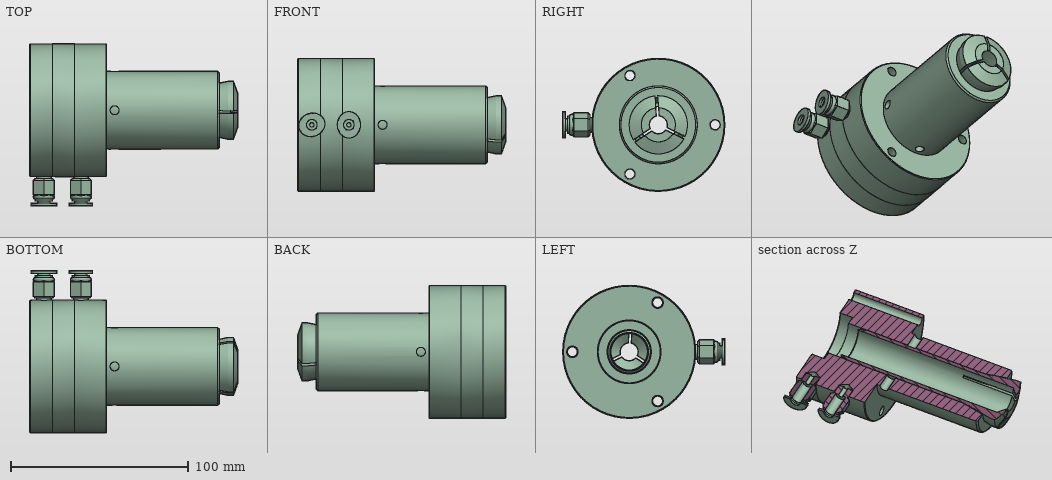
import cadquery as cq
import math

flange_diameter = 75.0
flange_length = 43.4
flange_edge_chamfer = 0.5
band_diameter = 75.1
band_start = 12.8
band_end = 25.4
sleeve_diameter = 44.0
sleeve_end = 107.0
sleeve_edge_chamfer = 0.9

recess_diameter = 35.0
recess_depth = 8.0
recess_edge_chamfer = 0.5
bore_diameter = 25.0

mount_hole_count = 3
mount_hole_diameter = 5.5
mount_hole_chamfer = 0.5
mount_circle_radius = 32.0

side_hole_count = 4
side_hole_diameter = 5.0
side_hole_x = 47.9

overall_length = 117.4
collet_start = 15.0
collet_diameter = bore_diameter
tail_diameter = 24.0
tail_end = 18.8
collet_edge_chamfer = 1.0
collet_bore_chamfer = 0.5
collet_bore_diameter = 20.5
collet_mouth_diameter = 10.0
mouth_taper_start = 113.3
head_diameter = 32.9
head_start = 111.9
head_end = 114.9
nose_diameter = 19.3
seat_diameter = 30.8

slit_count = 3
slit_width = 1.5
slit_start = 82.2
slit_tilt = 3.8

fitting_x = [8.0, 28.9]
button_tilts = [71.0, 0.0]
socket_floor = 31.7
neck_diameter = 8.5
hex_width = 12.0
hex_start = 38.5
hex_end = 48.6
hex_chamfer = 1.0
shoulder_edge_diameter = 10.3
shoulder_end = 50.1
collar_diameter = 10.0
collar_end = 51.2
stem_diameter = 7.0
button_start = 52.4
fitting_end = 54.0
button_length = 14.9
button_width = 13.1
tube_hole_diameter = 6.0
passage_diameter = 2.5
drill_point_angle = 118.0

cone_slope = (head_diameter - seat_diameter) / 2 / (head_start - sleeve_end)
cone_start = sleeve_end - (seat_diameter - bore_diameter) / 2 / cone_slope


def along_x(start, end, diameter):
    """Cylinder on the X axis."""
    return cq.Workplane("YZ", origin=(start, 0, 0)).circle(diameter / 2).extrude(end - start)


def revolve_about_x(points):
    """Solid of revolution from (x, radius) points, closed along the X axis."""
    return cq.Workplane("XY").polyline(points).close().revolve(360, (0, 0, 0), (1, 0, 0))


def along_fitting(start, end, diameter):
    """Cylinder around -Y between two distances from the X axis."""
    return cq.Workplane("XZ", origin=(0, -start, 0)).circle(diameter / 2).extrude(end - start)


def fitting_socket():
    """Drilled hole with a conical point that takes the neck of a fitting."""
    radius = neck_diameter / 2
    point_floor = socket_floor - radius / math.tan(math.radians(drill_point_angle / 2))
    profile = [
        (0, -point_floor),
        (radius, -socket_floor),
        (radius, -band_diameter / 2),
        (0, -band_diameter / 2),
    ]
    return cq.Workplane("XY").polyline(profile).close().revolve(360, (0, 0, 0), (0, 1, 0))


def make_housing():
    body = along_x(0, flange_length, flange_diameter).edges().chamfer(flange_edge_chamfer)
    body = body.union(along_x(band_start, band_end, band_diameter))

    sleeve = along_x(flange_length, sleeve_end, sleeve_diameter).faces(">X").chamfer(sleeve_edge_chamfer)
    body = body.union(sleeve)

    recess_radius = recess_diameter / 2
    bore_radius = bore_diameter / 2
    body = body.cut(revolve_about_x([
        (0, 0),
        (0, recess_radius + recess_edge_chamfer),
        (recess_edge_chamfer, recess_radius),
        (recess_depth, recess_radius),
        (recess_depth, bore_radius),
        (cone_start, bore_radius),
        (sleeve_end, seat_diameter / 2),
        (sleeve_end, 0),
    ]))

    hole_radius = mount_hole_diameter / 2
    mount_hole = revolve_about_x([
        (0, 0),
        (0, hole_radius + mount_hole_chamfer),
        (mount_hole_chamfer, hole_radius),
        (flange_length, hole_radius),
        (flange_length, 0),
    ]).translate((0, mount_circle_radius, 0))
    for i in range(mount_hole_count):
        body = body.cut(mount_hole.rotate((0, 0, 0), (1, 0, 0), i * 360 / mount_hole_count))

    side_hole = (
        cq.Workplane("XY").center(side_hole_x, 0).circle(side_hole_diameter / 2).extrude(sleeve_diameter / 2)
    )
    for i in range(side_hole_count):
        body = body.cut(side_hole.rotate((0, 0, 0), (1, 0, 0), i * 360 / side_hole_count))

    for x in fitting_x:
        body = body.cut(fitting_socket().translate((x, 0, 0)))
    return body


def make_collet():
    outer_radius = collet_diameter / 2
    tail_radius = tail_diameter / 2
    tail_step = outer_radius - tail_radius
    bore_radius = collet_bore_diameter / 2
    mouth_radius = collet_mouth_diameter / 2
    body = revolve_about_x([
        (collet_start + collet_bore_chamfer, bore_radius),
        (collet_start, bore_radius + collet_bore_chamfer),
        (collet_start, tail_radius - collet_edge_chamfer),
        (collet_start + collet_edge_chamfer, tail_radius),
        (tail_end, tail_radius),
        (tail_end + tail_step, outer_radius),
        (cone_start, outer_radius),
        (head_start, head_diameter / 2),
        (head_end, head_diameter / 2),
        (overall_length, nose_diameter / 2),
        (overall_length, mouth_radius),
        (mouth_taper_start, bore_radius),
    ])
    slit = cq.Workplane("XY").box(
        overall_length - slit_start, slit_width, head_diameter, centered=(False, True, False)
    ).translate((slit_start, 0, 0))
    for i in range(slit_count):
        body = body.cut(slit.rotate((0, 0, 0), (1, 0, 0), slit_tilt + i * 360 / slit_count))
    return body


def make_fitting(x, button_tilt):
    body = along_fitting(socket_floor, hex_start, neck_diameter)
    hexagon = (
        cq.Workplane("XZ", origin=(0, -hex_start, 0))
        .polygon(6, hex_width, circumscribed=True)
        .extrude(hex_end - hex_start)
        .faces("<Y or >Y")
        .chamfer(hex_chamfer)
    )
    body = body.union(hexagon)

    shoulder_start = hex_end - hex_chamfer
    edge_radius = shoulder_edge_diameter / 2
    shoulder = (
        cq.Workplane("XY")
        .moveTo(0, -shoulder_start)
        .lineTo(edge_radius, -shoulder_start)
        .threePointArc((hex_width / 2, -(shoulder_start + shoulder_end) / 2), (edge_radius, -shoulder_end))
        .lineTo(0, -shoulder_end)
        .close()
        .revolve(360, (0, 0, 0), (0, 1, 0))
    )
    body = body.union(shoulder)
    body = body.union(along_fitting(shoulder_end, collar_end, collar_diameter))
    body = body.union(along_fitting(collar_end, button_start, stem_diameter))

    button = (
        cq.Workplane("XZ", origin=(0, -button_start, 0))
        .ellipse(button_width / 2, button_length / 2)
        .extrude(fitting_end - button_start)
        .rotate((0, 0, 0), (0, 1, 0), button_tilt)
    )
    body = body.union(button)

    body = body.cut(along_fitting(hex_start, fitting_end, tube_hole_diameter))
    body = body.cut(along_fitting(socket_floor, hex_start, passage_diameter))
    return body.translate((x, 0, 0))


housing = make_housing()
collet = make_collet()
fittings = [make_fitting(x, tilt) for x, tilt in zip(fitting_x, button_tilts)]

result = cq.Compound.makeCompound([
    housing.solids().val(),
    collet.solids().val(),
    *[fitting.solids().val() for fitting in fittings],
])